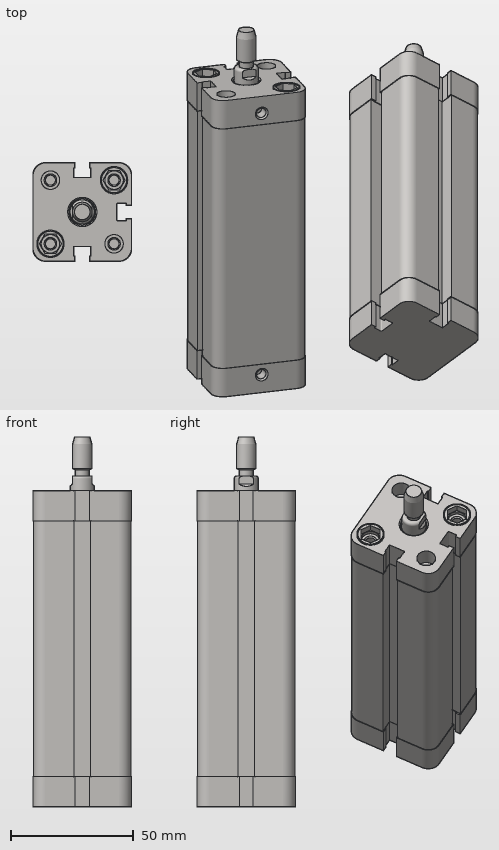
import cadquery as cq
import math

total_height = 151.0

cap_width = 40.3
cap_height = 12.4
cap_corner_radius = 5.1
barrel_width = 39.9
barrel_height = 104.3
barrel_corner_radius = 4.8

slot_depth = 6.0
lip_depth = 2.3
cap_slot_mouth = 6.0
cap_slot_channel = 7.0
side_slot_mouth = 5.5
side_slot_channel = 7.2
side_slot_floor_radius = 0.5
barrel_slot_width = 6.8

screw_offset = 13.0
plain_hole_diameter = 7.5
plain_hole_depth = 7.5
plain_hole_thread_depth = 3.0
head_diameter = 11.2
head_chamfer = 0.5
hex_across_flats = 7.9
hex_depth = 3.0
head_bore_diameter = 7.5
head_bore_depth = 4.5

thread_core_diameter = 4.1
port_mouth_diameter = 5.5
screw_thread_mouth_diameter = 5.1
thread_depth = 6.0
front_port_height = 121.7
rear_port_height = 7.9

rod_diameter = 10.0
rod_edge_radius = 1.2
rod_shoulder_height = 135.1
rod_seat_diameter = 10.9
rod_seat_mouth_diameter = 12.0
rod_seat_depth = 1.5
flats_width = 8.0
flats_bottom_height = 131.8
thread_diameter = 8.0
thread_tip_diameter = 6.3
thread_tip_length = 3.0
thread_length = 12.8
undercut_diameter = 5.7
undercut_cone_length = 0.6

barrel_bottom = cap_height
bearing_cap_bottom = barrel_bottom + barrel_height
bearing_cap_top = bearing_cap_bottom + cap_height
thread_bottom = total_height - thread_length


def rounded_block(width, corner_radius, bottom, height):
    """Upright square block with rounded vertical edges."""
    block = cq.Workplane("XY").workplane(offset=bottom).rect(width, width).extrude(height)
    return block.edges("|Z").fillet(corner_radius)


def slot_cutter(mouth, channel, bottom, height, angle, floor_radius=0):
    """Upright stepped slot in the side that faces `angle` degrees from +X."""
    face = cap_width / 2
    floor = face - slot_depth
    channel_length = slot_depth - lip_depth
    base = cq.Workplane("XY").workplane(offset=bottom)
    mouth_cut = base.center(face - lip_depth / 2, 0).rect(lip_depth, mouth).extrude(height)
    channel_cut = base.center(floor + channel_length / 2, 0).rect(channel_length, channel).extrude(height)
    if floor_radius > 0:
        channel_cut = channel_cut.edges("|Z and <X").fillet(floor_radius)
    return channel_cut.union(mouth_cut).rotate((0, 0, 0), (0, 0, 1), angle)


def threaded_hole_cutter(mouth_diameter, depth):
    """Blind hole with a 45 degree mouth chamfer, going down from the origin."""
    mouth = mouth_diameter / 2
    core = thread_core_diameter / 2
    profile = [(0, 0), (mouth, 0), (core, core - mouth), (core, -depth), (0, -depth)]
    return cq.Workplane("XZ").polyline(profile).close().revolve(360, (0, 0), (0, 1))


def cut_port(cap, height):
    """Air port in the -X side of a cap."""
    port = threaded_hole_cutter(port_mouth_diameter, thread_depth).rotate((0, 0, 0), (0, 1, 0), -90)
    return cap.cut(port.translate((-cap_width / 2, 0, height)))


def make_cap(bottom):
    """Square cap with a sensor slot in its +X, +Y and -Y sides."""
    cap = rounded_block(cap_width, cap_corner_radius, bottom, cap_height)
    for angle in (90, -90):
        cap = cap.cut(slot_cutter(cap_slot_mouth, cap_slot_channel, bottom, cap_height, angle))
    side_slot = slot_cutter(
        side_slot_mouth, side_slot_channel, bottom, cap_height, 0, side_slot_floor_radius
    )
    return cap.cut(side_slot)


def cut_plain_screw_hole(cap, x, y):
    """Round hole with a threaded screw end at its floor."""
    hole = cq.Workplane("XY").circle(plain_hole_diameter / 2).extrude(-plain_hole_depth)
    thread = threaded_hole_cutter(screw_thread_mouth_diameter, plain_hole_thread_depth)
    thread = thread.translate((0, 0, -plain_hole_depth))
    return cap.cut(hole.union(thread).translate((x, y, bearing_cap_top)))


def cut_socket_head(cap, x, y):
    """Chamfered head rim with a hexagon socket, a bore and a threaded hole below it."""
    rim = head_diameter / 2
    groove_profile = [(rim - head_chamfer, 0), (rim, 0), (rim, -head_chamfer)]
    groove = cq.Workplane("XZ").polyline(groove_profile).close().revolve(360, (0, 0), (0, 1))
    hex_across_corners = hex_across_flats / math.cos(math.pi / 6)
    socket = cq.Workplane("XY").polygon(6, hex_across_corners).extrude(-hex_depth)
    bore = cq.Workplane("XY").circle(head_bore_diameter / 2).extrude(-head_bore_depth)
    thread = threaded_hole_cutter(screw_thread_mouth_diameter, thread_depth)
    thread = thread.translate((0, 0, -head_bore_depth))
    for cutter in (groove, socket, bore, thread):
        cap = cap.cut(cutter.translate((x, y, bearing_cap_top)))
    return cap


def make_bearing_cap():
    """Upper cap: rod hole with a chamfered seat, four corner screws and an air port."""
    cap = make_cap(bearing_cap_bottom)
    rod = rod_diameter / 2
    seat = rod_seat_diameter / 2
    seat_mouth = rod_seat_mouth_diameter / 2
    hole_profile = [
        (0, bearing_cap_bottom),
        (rod, bearing_cap_bottom),
        (rod, bearing_cap_top - rod_seat_depth),
        (seat, bearing_cap_top - rod_seat_depth),
        (seat, bearing_cap_top - (seat_mouth - seat)),
        (seat_mouth, bearing_cap_top),
        (0, bearing_cap_top),
    ]
    rod_hole = cq.Workplane("XZ").polyline(hole_profile).close().revolve(360, (0, 0), (0, 1))
    cap = cap.cut(rod_hole)
    for side in (1, -1):
        cap = cut_socket_head(cap, side * screw_offset, side * screw_offset)
        cap = cut_plain_screw_hole(cap, -side * screw_offset, side * screw_offset)
    return cut_port(cap, front_port_height)


def make_end_cap():
    """Lower cap with an air port."""
    return cut_port(make_cap(0), rear_port_height)


def make_barrel():
    """Square profile body between the caps with straight sensor slots."""
    barrel = rounded_block(barrel_width, barrel_corner_radius, barrel_bottom, barrel_height)
    for angle in (0, 90, -90):
        slot = slot_cutter(barrel_slot_width, barrel_slot_width, barrel_bottom, barrel_height, angle)
        barrel = barrel.cut(slot)
    return barrel


def make_piston_rod():
    """Turned rod with a threaded end, a rounded shoulder, an undercut and two wrench flats."""
    rod = rod_diameter / 2
    undercut = undercut_diameter / 2
    thread = thread_diameter / 2
    arc_middle = rod_edge_radius * (1 - math.sqrt(0.5))
    body = (
        cq.Workplane("XZ").moveTo(0, bearing_cap_bottom).lineTo(rod, bearing_cap_bottom)
        .lineTo(rod, rod_shoulder_height - rod_edge_radius)
        .threePointArc(
            (rod - arc_middle, rod_shoulder_height - arc_middle),
            (rod - rod_edge_radius, rod_shoulder_height),
        )
        .lineTo(undercut, rod_shoulder_height)
        .lineTo(undercut, thread_bottom - undercut_cone_length)
        .lineTo(thread, thread_bottom)
        .lineTo(thread, total_height - thread_tip_length)
        .lineTo(thread_tip_diameter / 2, total_height)
        .lineTo(0, total_height)
        .close().revolve(360, (0, 0), (0, 1))
    )
    flat = flats_width / 2
    ramp = rod - flat
    for side in (1, -1):
        flat_profile = [
            (side * flat, rod_shoulder_height),
            (side * flat, flats_bottom_height),
            (side * rod, flats_bottom_height - ramp),
            (side * rod, rod_shoulder_height),
        ]
        cutter = cq.Workplane("XZ").polyline(flat_profile).close().extrude(rod, both=True)
        body = body.cut(cutter)
    return body


end_cap = make_end_cap()
barrel = make_barrel()
bearing_cap = make_bearing_cap()
piston_rod = make_piston_rod()

result = cq.Compound.makeCompound([end_cap.val(), barrel.val(), bearing_cap.val(), piston_rod.val()])